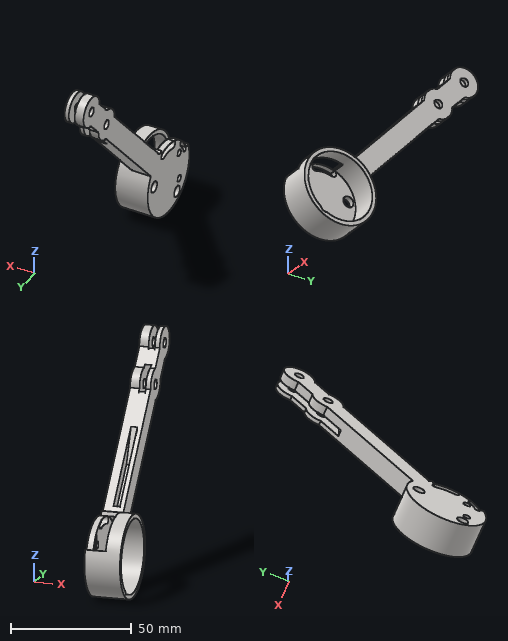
import cadquery as cq
import math


drum_length = 15.5
drum_radius = 18.0
bore_radius = 16.0
plate_thickness = 3.0

arm_thickness = 9.0
arm_width = 10.0
half_width = arm_width / 2
eye_radius = 7.0
eye_hole_diameter = 4.0
overall_depth = 91.39
overall_height = 98.89
tip_y = overall_depth - drum_radius - eye_radius
tip_z = overall_height - drum_radius - eye_radius
tip_distance = math.hypot(tip_y, tip_z)
arm_angle = math.degrees(math.atan2(tip_z, tip_y))
eye_spacing = 19.4
inner_eye_distance = tip_distance - eye_spacing

slot_start_x = 4.15
slot_width = 2.8
tip_slot_reach = 5.4
inner_slot_reach = 6.3
inner_slot_slope_run = 10.5
wedge_apex_height = 0.3
pocket_start = 20.1
pocket_floor_end = 41.9
pocket_end = 57.2

window_start_angle = 70.0
window_end_angle = 159.2

slot_rim = 0.1
wide_slot_width = 3.2
wide_slot_angles = (71.0, 106.5)
narrow_slot_width = 2.0
narrow_slot_angles = (137.0, 159.0)

large_hole_diameter = 5.0
large_hole_centres = [(12.4, 2.4), (-7.3, -12.0)]
small_hole_diameter = 3.0
small_hole_y = -9.2
small_hole_spacing = 13.0


def polar(radius, angle):
    """Point in the YZ plane at a radius and an angle in degrees."""
    return radius * math.cos(math.radians(angle)), radius * math.sin(math.radians(angle))


def disc(centre, radius, length):
    """Cylinder along +X, starting at X = 0."""
    return cq.Workplane("YZ").center(*centre).circle(radius).extrude(length)


def along_arm(solid):
    """Turn a solid built along +Y into the direction of the arm."""
    return solid.rotate((0, 0, 0), (1, 0, 0), arm_angle)


def arm_slot(points):
    """Slot cutter from an outline of (distance along arm, height above arm centreline)."""
    outline = cq.Workplane("YZ", origin=(slot_start_x, 0, 0)).polyline(points).close()
    return along_arm(outline.extrude(slot_width))


def ring_sector(inner_radius, outer_radius, start_angle, end_angle, length):
    """Part of a ring between two angles, starting at X = 0."""
    middle_angle = (start_angle + end_angle) / 2
    return (
        cq.Workplane("YZ")
        .moveTo(*polar(inner_radius, start_angle))
        .lineTo(*polar(outer_radius, start_angle))
        .threePointArc(polar(outer_radius, middle_angle), polar(outer_radius, end_angle))
        .lineTo(*polar(inner_radius, end_angle))
        .threePointArc(polar(inner_radius, middle_angle), polar(inner_radius, start_angle))
        .close()
        .extrude(length)
    )


def curved_slot(width, angles):
    """Round-ended slot cutter through the end plate, just inside its rim."""
    outer_radius = bore_radius - slot_rim
    centre_radius = outer_radius - width / 2
    cutter = ring_sector(outer_radius - width, outer_radius, *angles, plate_thickness)
    for angle in angles:
        cutter = cutter.union(disc(polar(centre_radius, angle), width / 2, plate_thickness))
    return cutter


def make_body():
    """Drum, arm and eyes, with the drum bored out from the +X end."""
    bar = cq.Workplane("YZ").center(tip_distance / 2, 0).rect(tip_distance, arm_width)
    body = disc((0, 0), drum_radius, drum_length)
    body = body.union(along_arm(bar.extrude(arm_thickness)))
    for distance in (inner_eye_distance, tip_distance):
        body = body.union(disc(polar(distance, arm_angle), eye_radius, arm_thickness))
    bore = disc((0, 0), bore_radius, drum_length).translate((plate_thickness, 0, 0))
    return body.cut(bore)


def cut_clevis_slots(body):
    """Split both eyes; a wedge on the upper arm face is left between them."""
    clear = 2 * eye_radius
    inner_top = inner_eye_distance - inner_slot_reach
    tip_top = tip_distance - tip_slot_reach
    wedge_start = inner_eye_distance + inner_slot_reach
    wedge_apex = (inner_eye_distance + eye_spacing / 2, wedge_apex_height)
    outline = [
        (inner_top, clear),
        (inner_top, half_width),
        (inner_top - inner_slot_slope_run, -half_width),
        (inner_top - inner_slot_slope_run, -clear),
        (tip_distance + clear, -clear),
        (tip_distance + clear, clear),
        (tip_top, clear),
        (tip_top, half_width),
        wedge_apex,
        (wedge_start, half_width),
        (wedge_start, clear),
    ]
    return body.cut(arm_slot(outline))


def cut_arm_pocket(body):
    """Pocket from the upper arm face to the centreline, with a ramp at its far end."""
    outline = [
        (pocket_start, half_width),
        (pocket_start, 0),
        (pocket_floor_end, 0),
        (pocket_end, half_width),
    ]
    return body.cut(arm_slot(outline))


def cut_drum_openings(body):
    """Wall window and the two curved slots of the end plate."""
    body = body.cut(
        ring_sector(bore_radius, drum_radius, window_start_angle, window_end_angle, arm_thickness)
    )
    body = body.cut(curved_slot(wide_slot_width, wide_slot_angles))
    return body.cut(curved_slot(narrow_slot_width, narrow_slot_angles))


def cut_holes(body):
    """Eye holes and end plate holes; one large hole also grooves the drum bore."""
    for distance in (inner_eye_distance, tip_distance):
        body = body.cut(disc(polar(distance, arm_angle), eye_hole_diameter / 2, arm_thickness))
    for centre in large_hole_centres:
        body = body.cut(disc(centre, large_hole_diameter / 2, drum_length))
    for side in (-1, 1):
        centre = (small_hole_y, side * small_hole_spacing / 2)
        body = body.cut(disc(centre, small_hole_diameter / 2, plate_thickness))
    return body


result = make_body()
result = cut_clevis_slots(result)
result = cut_arm_pocket(result)
result = cut_drum_openings(result)
result = cut_holes(result)